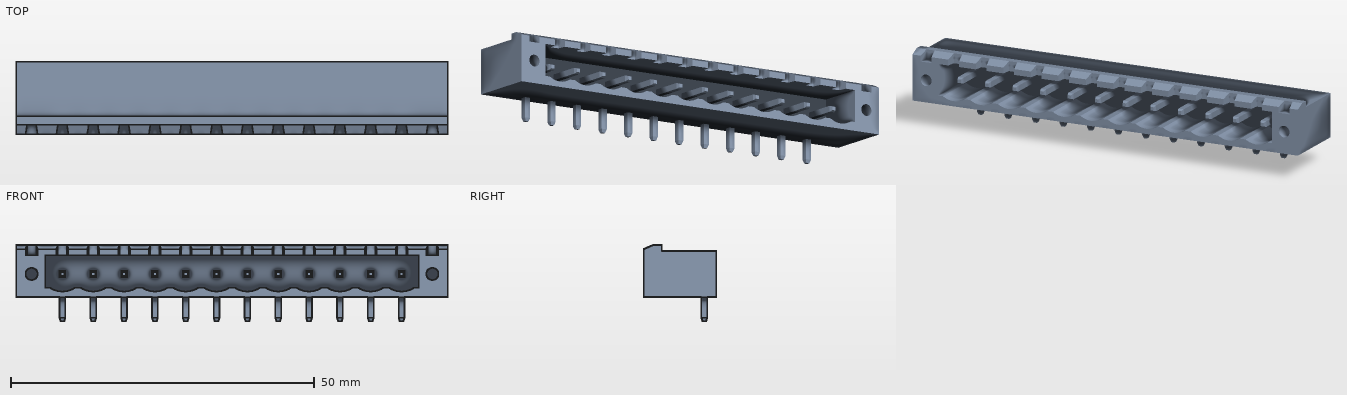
import cadquery as cq
import math


pin_count = 12
pitch = 5.08
body_length = (pin_count + 2) * pitch
body_depth = 12.0
body_height = 8.6

back_y = 2.0
front_y = back_y - body_depth
lip_depth = 3.0
lip_height = 1.0
lip_slope_depth = 1.6
lip_slope_drop = 0.7

cavity_length = 61.6
cavity_depth = 8.6
cavity_floor_z = 1.5
cavity_roof_z = 6.9
scallop_width = 4.0
scallop_sag = 0.6

slot_front_width = 2.0
slot_back_width = 1.5
slot_depth = lip_slope_depth

screw_hole_diameter = 2.0
screw_hole_depth = cavity_depth
screw_hole_x = body_length / 2 - pitch / 2

pin_width = 1.0
pin_tip_width = 0.6
pin_taper_length = 0.6
pin_axis_z = 3.8
solder_tail_length = 4.0
contact_tip_y = front_y + 2.0

pin_positions = [(i - (pin_count - 1) / 2) * pitch for i in range(pin_count)]
slot_positions = [-screw_hole_x] + pin_positions + [screw_hole_x]


def make_housing():
    """Block with a raised, sloped lip along the front of its top."""
    return (
        cq.Workplane("YZ")
        .moveTo(back_y, 0)
        .lineTo(back_y, body_height - lip_height)
        .lineTo(front_y + lip_depth, body_height - lip_height)
        .lineTo(front_y + lip_depth, body_height)
        .lineTo(front_y + lip_slope_depth, body_height)
        .lineTo(front_y, body_height - lip_slope_drop)
        .lineTo(front_y, 0)
        .close()
        .extrude(body_length / 2, both=True)
    )


def make_cavity():
    """Cavity volume, open at the front, with one round trough under each pin."""
    half_length = cavity_length / 2
    outline = (
        cq.Workplane("XZ", origin=(0, front_y, 0))
        .moveTo(-half_length, cavity_roof_z)
        .lineTo(-half_length, cavity_floor_z)
    )
    for x in pin_positions:
        outline = outline.lineTo(x - scallop_width / 2, cavity_floor_z).threePointArc(
            (x, cavity_floor_z - scallop_sag),
            (x + scallop_width / 2, cavity_floor_z),
        )
    return (
        outline.lineTo(half_length, cavity_floor_z)
        .lineTo(half_length, cavity_roof_z)
        .close()
        .extrude(-cavity_depth)
    )


def make_slot(x):
    """Tapered slot from the cavity roof level up through the lip."""
    return (
        cq.Workplane("XY", origin=(x, front_y, cavity_roof_z))
        .moveTo(-slot_front_width / 2, 0)
        .lineTo(slot_front_width / 2, 0)
        .lineTo(slot_back_width / 2, slot_depth)
        .lineTo(-slot_back_width / 2, slot_depth)
        .close()
        .extrude(body_height - cavity_roof_z)
    )


def make_screw_hole(x):
    return (
        cq.Workplane("XZ", origin=(x, front_y, 0))
        .center(0, pin_axis_z)
        .circle(screw_hole_diameter / 2)
        .extrude(-screw_hole_depth)
    )


def make_bar(plane, length):
    """Square bar along the plane normal, tapered at its far end."""
    taper_angle = math.degrees(math.atan((pin_width - pin_tip_width) / 2 / pin_taper_length))
    return (
        cq.Workplane(plane)
        .rect(pin_width, pin_width)
        .extrude(length - pin_taper_length)
        .faces(cq.selectors.DirectionMinMaxSelector(plane.zDir, True))
        .wires()
        .toPending()
        .extrude(pin_taper_length, taper=taper_angle)
    )


def make_pin(x):
    """Contact running forward and solder tail running down, meeting in a square corner."""
    corner_z = pin_axis_z + pin_width / 2
    contact_start_y = pin_width / 2
    contact_plane = cq.Plane(origin=(x, contact_start_y, pin_axis_z), xDir=(1, 0, 0), normal=(0, -1, 0))
    tail_plane = cq.Plane(origin=(x, 0, corner_z), xDir=(1, 0, 0), normal=(0, 0, -1))
    contact = make_bar(contact_plane, contact_start_y - contact_tip_y)
    tail = make_bar(tail_plane, corner_z + solder_tail_length)
    return contact.union(tail)


result = make_housing().cut(make_cavity())
for slot_x in slot_positions:
    result = result.cut(make_slot(slot_x))
for hole_x in (-screw_hole_x, screw_hole_x):
    result = result.cut(make_screw_hole(hole_x))
for pin_x in pin_positions:
    result = result.union(make_pin(pin_x))